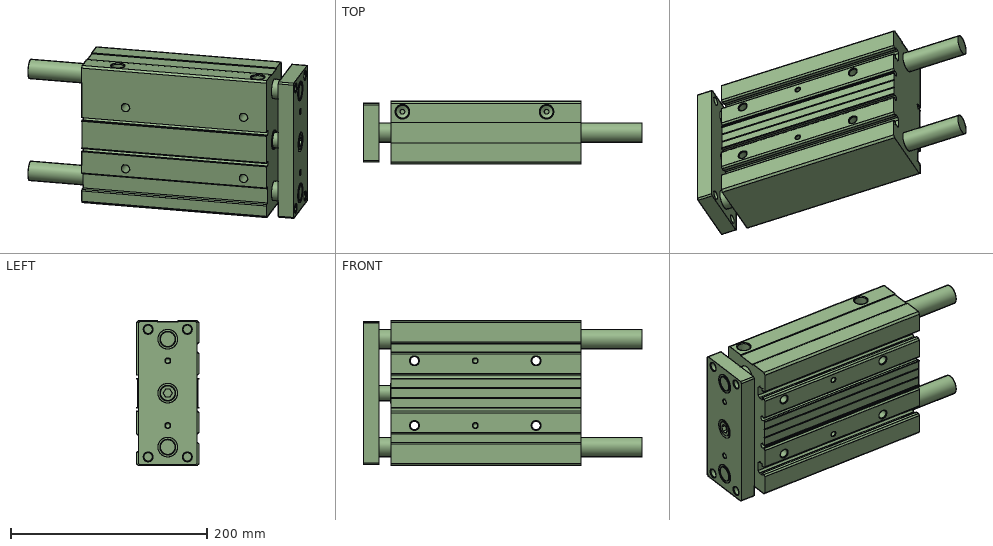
import cadquery as cq
import math


total_length = 284.0
plate_thickness = 16.0
plate_gap = 12.0
body_length = 194.0
body_front = plate_thickness + plate_gap
body_back = body_front + body_length

body_depth = 64.0
body_height = 148.0
body_chamfer = 2.15
front_face = -body_depth / 2
rear_face = body_depth / 2
top_face = body_height / 2

top_channel_width = 21.0
top_channel_depth = 1.0
center_relief_half_height = 14.5
center_relief_depth = 1.0

t_slot_offset = 46.0
t_slot_width = 8.6
t_slot_chamfer = 1.7
t_slot_lip = 5.0
t_slot_head_width = 13.5
t_slot_depth = 12.0
t_slot_floor_bevel = 2.0

rear_slot_center = -51.0
rear_slot_width = 17.0
rear_slot_depth = 6.0
rear_slot_chamfer = 1.2

sensor_offset = 16.7
sensor_mouth = 3.4
sensor_bore = 5.0
sensor_bore_depth = 4.6
sensor_outer_chamfer = 1.7

line_offset = 5.1
line_width = 1.0
line_depth = 0.5

mount_spacing = 124.0
mount_inset = 24.0
mount_start = body_front + mount_inset
mount_end = mount_start + mount_spacing
dowel_x = (mount_start + mount_end) / 2
mount_height = 33.0
thread_diameter = 10.0
tap_drill = 8.6
dowel_diameter = 5.0
dowel_mouth = 6.0
dowel_depth = 8.0
drill_point_angle = 118.0

port_positions = (39.7, 186.7)
port_y = 21.3
port_mouth = 14.8
port_diameter = 13.0
port_depth = 12.0
port_duct = 4.8
port_duct_depth = 22.0

plate_width = 60.0
plate_height = 146.0
plate_chamfer = 1.6
plate_hole_y = 20.0
plate_hole_z = 65.0

guide_diameter = 20.0
guide_offset = 55.0
guide_heights = (-guide_offset, guide_offset)
piston_diameter = 16.0
rod_tip_diameter = piston_diameter
rod_tip_chamfer = 0.5
guide_tip_overlap = 1.0
piston_recess_diameter = 20.0
plate_recess_depth = 6.0

collar_diameter = 20.0
collar_height = 0.6

hex_across_flats = 8.0
hex_depth = 5.0

rear_wall = 20.0
piston_end = body_back - rear_wall


def bar_along_x(points, start, length):
    """Prism along X from an outline of (y, z) points."""
    return cq.Workplane("YZ", origin=(start, 0, 0)).polyline(points).close().extrude(length)


def rod_along_x(diameter, start, end, z=0.0):
    return cq.Workplane("YZ", origin=(start, 0, z)).circle(diameter / 2).extrude(end - start)


def bevelled_block(length, width, height, chamfer, start):
    block = cq.Workplane("XY").box(length, width, height, centered=(False, True, True))
    return block.edges("|X").chamfer(chamfer).translate((start, 0, 0))


def turned_cutter(profile, origin, x_dir, inward):
    """Tool for a round hole; profile lists (radius, depth) below the mouth."""
    plane = cq.Plane(origin=origin, xDir=x_dir, normal=cq.Vector(*x_dir).cross(cq.Vector(*inward)))
    outline = cq.Workplane(plane).polyline([(0, 0)] + profile).close()
    return outline.revolve(360, (0, 0), (0, 1))


def cone_height(large, small=0.0):
    """Height of a drill-point cone between two diameters."""
    return (large - small) / 2 / math.tan(math.radians(drill_point_angle / 2))


def dowel_cutter(origin, x_dir, inward):
    radius = dowel_diameter / 2
    mouth = dowel_mouth / 2
    profile = [
        (mouth, 0),
        (radius, mouth - radius),
        (radius, dowel_depth),
        (0, dowel_depth + cone_height(dowel_diameter)),
    ]
    return turned_cutter(profile, origin, x_dir, inward)


def through_cutter(length, origin, x_dir, inward):
    """Tapped through hole with a countersunk mouth."""
    mouth = thread_diameter / 2
    radius = tap_drill / 2
    profile = [(mouth, 0), (radius, mouth - radius), (radius, length), (0, length)]
    return turned_cutter(profile, origin, x_dir, inward)


def port_cutter(x):
    mouth = port_mouth / 2
    radius = port_diameter / 2
    duct = port_duct / 2
    cone_end = port_depth + cone_height(port_diameter, port_duct)
    profile = [
        (mouth, 0),
        (radius, mouth - radius),
        (radius, port_depth),
        (duct, cone_end),
        (duct, port_duct_depth),
        (0, port_duct_depth),
    ]
    return turned_cutter(profile, (x, port_y, top_face), (1, 0, 0), (0, 0, -1))


def body_slot(points):
    return bar_along_x(points, body_front, body_length)


def slot_box(face, depth, low, high):
    """Rectangular slot from the front or rear face, between two heights."""
    inner = face - math.copysign(depth, face)
    return body_slot([(face, low), (inner, low), (inner, high), (face, high)])


def flared_mouth(face, center, width, chamfer):
    inner = face - math.copysign(chamfer, face)
    outer_half = width / 2 + chamfer
    return body_slot([
        (face, center - outer_half),
        (inner, center - width / 2),
        (inner, center + width / 2),
        (face, center + outer_half),
    ])


def cut_front_t_slots(body):
    for z in (-t_slot_offset, t_slot_offset):
        neck = slot_box(front_face, t_slot_depth, z - t_slot_width / 2, z + t_slot_width / 2)
        half_head = t_slot_head_width / 2
        lip = front_face + t_slot_lip
        floor = front_face + t_slot_depth
        head = body_slot([
            (lip, z - half_head),
            (floor - t_slot_floor_bevel, z - half_head),
            (floor, z - half_head + t_slot_floor_bevel),
            (floor, z + half_head - t_slot_floor_bevel),
            (floor - t_slot_floor_bevel, z + half_head),
            (lip, z + half_head),
        ])
        body = body.cut(neck).cut(head).cut(flared_mouth(front_face, z, t_slot_width, t_slot_chamfer))
    return body


def cut_rear_slot(body):
    half = rear_slot_width / 2
    body = body.cut(slot_box(rear_face, rear_slot_depth, rear_slot_center - half, rear_slot_center + half))
    return body.cut(flared_mouth(rear_face, rear_slot_center, rear_slot_width, rear_slot_chamfer))


def cut_center_relief(body):
    half = center_relief_half_height
    for face in (front_face, rear_face):
        body = body.cut(slot_box(face, center_relief_depth, -half, half))
    relief_floor = front_face + center_relief_depth
    for z in (-line_offset, line_offset):
        groove = body_slot([
            (relief_floor, z - line_width / 2),
            (relief_floor + line_depth, z),
            (relief_floor, z + line_width / 2),
        ])
        body = body.cut(groove)
    return body


def cut_sensor_grooves(body):
    half = sensor_mouth / 2
    for side in (-1, 1):
        z = side * sensor_offset
        for face in (front_face, rear_face):
            bore_y = face - math.copysign(sensor_bore_depth, face)
            bore = rod_along_x(sensor_bore, body_front, body_back, z).translate((0, bore_y, 0))
            body = body.cut(slot_box(face, sensor_bore_depth, z - half, z + half)).cut(bore)
        edge = z + side * half
        bevel = body_slot([
            (front_face, edge),
            (front_face, edge + side * sensor_outer_chamfer),
            (front_face + sensor_outer_chamfer, edge),
        ])
        body = body.cut(bevel)
    return body


def make_body():
    body = bevelled_block(body_length, body_depth, body_height, body_chamfer, body_front)
    channel = cq.Workplane("XY").box(
        body_length, top_channel_width, top_channel_depth, centered=(False, True, False)
    )
    body = body.cut(channel.translate((body_front, 0, top_face - top_channel_depth)))
    body = cut_front_t_slots(body)
    body = cut_rear_slot(body)
    body = cut_center_relief(body)
    body = cut_sensor_grooves(body)
    for z in (-mount_height, mount_height):
        for x in (mount_start, mount_end):
            hole = through_cutter(body_depth, (x, front_face, z), (1, 0, 0), (0, 1, 0))
            body = body.cut(hole)
        body = body.cut(dowel_cutter((dowel_x, front_face, z), (1, 0, 0), (0, 1, 0)))
    for x in port_positions:
        body = body.cut(port_cutter(x))
    for z in guide_heights:
        body = body.cut(rod_along_x(guide_diameter, body_front, body_back, z))
    collar_front = body_front - collar_height
    body = body.union(rod_along_x(collar_diameter, collar_front, body_front))
    return body.cut(rod_along_x(piston_diameter, collar_front, piston_end))


def make_plate():
    plate = bevelled_block(plate_thickness, plate_width, plate_height, plate_chamfer, 0)
    for z in (-plate_hole_z, plate_hole_z):
        for y in (-plate_hole_y, plate_hole_y):
            plate = plate.cut(through_cutter(plate_thickness, (0, y, z), (0, 1, 0), (1, 0, 0)))
    for z in (-mount_height, mount_height):
        plate = plate.cut(dowel_cutter((0, 0, z), (0, 1, 0), (1, 0, 0)))
    for z in guide_heights:
        plate = plate.cut(rod_along_x(guide_diameter, 0, plate_thickness, z))
    plate = plate.cut(rod_along_x(piston_diameter, 0, plate_thickness))
    return plate.cut(rod_along_x(piston_recess_diameter, 0, plate_recess_depth))


def make_guide_rod(z):
    tip = rod_along_x(rod_tip_diameter, 0, rod_tip_chamfer + guide_tip_overlap, z)
    tip = tip.faces("<X").chamfer(rod_tip_chamfer)
    return rod_along_x(guide_diameter, rod_tip_chamfer, total_length, z).union(tip)


def make_piston_rod():
    rod = rod_along_x(piston_diameter, 0, piston_end).faces("<X").chamfer(rod_tip_chamfer)
    corner_diameter = hex_across_flats / math.cos(math.pi / 6)
    socket = cq.Workplane("YZ").polygon(6, corner_diameter).extrude(hex_depth)
    return rod.cut(socket)


body = make_body()
plate = make_plate()
guide_rods = [make_guide_rod(z) for z in guide_heights]
piston_rod = make_piston_rod()

result = cq.Compound.makeCompound(
    [body.val(), plate.val(), *[rod.val() for rod in guide_rods], piston_rod.val()]
)